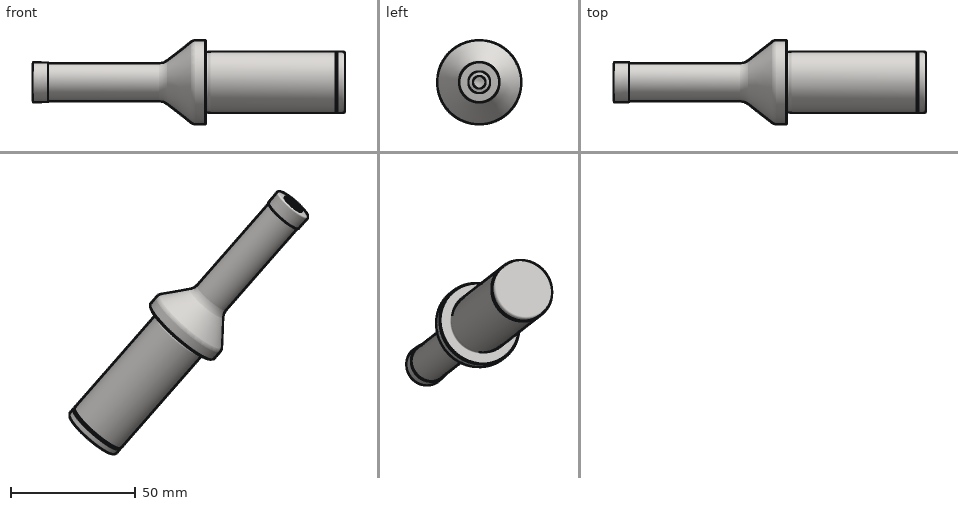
import cadquery as cq
import math

head_front_diameter = 16.4
head_back_diameter = 16.1
head_end_x = 6.3
head_corner_radius = 0.6
face_ridge_radius = 2.5
face_step_radius = 4.4
face_land_radius = 6.7
face_steep_angle = 11.0
face_gentle_angle = 2.0
face_land_angle = 2.5

neck_diameter = 15.5
flange_diameter = 34.0
cone_start_x = 52.9
cone_end_x = 64.8
flange_back_x = 69.9
neck_fillet = 5.0
rim_fillet = 2.5
flange_back_chamfer = 0.4

total_length = 126.0
shank_diameter = 25.0
groove_diameter = 24.5
relief_end_x = 71.0
relief_ramp_end_x = 71.8
relief_fillet = 0.4
rear_groove_start_x = 122.2
rear_groove_width = 0.8
shank_end_fillet = 1.0


def cone_rise(inner_radius, outer_radius, angle):
    """Axial height of a cone face between two radii."""
    return (outer_radius - inner_radius) * math.tan(math.radians(angle))


def revolve_about_x(points):
    """Revolve a closed (x, radius) outline about the X axis."""
    outline = cq.Workplane("XY").polyline(points).close()
    return outline.revolve(360, (0, 0, 0), (1, 0, 0))


def circle_at(x, diameter):
    """Selector box around the circular edge at one axial place and diameter."""
    margin = 0.06
    outer = diameter / 2 + margin
    inner = diameter / 2 - margin
    full_disc = cq.selectors.BoxSelector(
        (x - margin, -outer, -outer), (x + margin, outer, outer), boundingbox=True
    )
    smaller_disc = cq.selectors.BoxSelector(
        (x - margin, -inner, -inner), (x + margin, inner, inner), boundingbox=True
    )
    return full_disc - smaller_disc


def make_cutting_head():
    dimple_x = cone_rise(0, face_ridge_radius, face_steep_angle)
    step_x = cone_rise(face_ridge_radius, face_step_radius, face_steep_angle)
    land_x = cone_rise(face_step_radius, face_land_radius, face_gentle_angle)
    corner_radius = head_front_diameter / 2
    corner_x = land_x + cone_rise(face_land_radius, corner_radius, face_land_angle)
    head = revolve_about_x([
        (dimple_x, 0),
        (0, face_ridge_radius),
        (step_x, face_step_radius),
        (0, face_step_radius),
        (land_x, face_land_radius),
        (corner_x, corner_radius),
        (head_end_x, head_back_diameter / 2),
        (head_end_x, 0),
    ])
    return head.edges(circle_at(corner_x, head_front_diameter)).fillet(head_corner_radius)


def make_rear_groove():
    """Ring removed from the shank close to its rear end."""
    ring = cq.Workplane("YZ", origin=(rear_groove_start_x, 0, 0))
    return ring.circle(shank_diameter / 2).circle(groove_diameter / 2).extrude(rear_groove_width)


def make_holder():
    neck_radius = neck_diameter / 2
    flange_radius = flange_diameter / 2
    shank_radius = shank_diameter / 2
    relief_radius = groove_diameter / 2
    body = revolve_about_x([
        (head_end_x, 0),
        (head_end_x, neck_radius),
        (cone_start_x, neck_radius),
        (cone_end_x, flange_radius),
        (flange_back_x, flange_radius),
        (flange_back_x, relief_radius),
        (relief_end_x, relief_radius),
        (relief_ramp_end_x, shank_radius),
        (total_length, shank_radius),
        (total_length, 0),
    ])
    body = body.edges(circle_at(cone_start_x, neck_diameter)).fillet(neck_fillet)
    body = body.edges(circle_at(cone_end_x, flange_diameter)).fillet(rim_fillet)
    body = body.edges(circle_at(flange_back_x, groove_diameter)).fillet(relief_fillet)
    body = body.edges(circle_at(flange_back_x, flange_diameter)).chamfer(flange_back_chamfer)
    body = body.edges(circle_at(total_length, shank_diameter)).fillet(shank_end_fillet)
    return body.cut(make_rear_groove())


cutting_head = make_cutting_head()
holder = make_holder()
result = cq.Compound.makeCompound([cutting_head.val(), holder.val()])